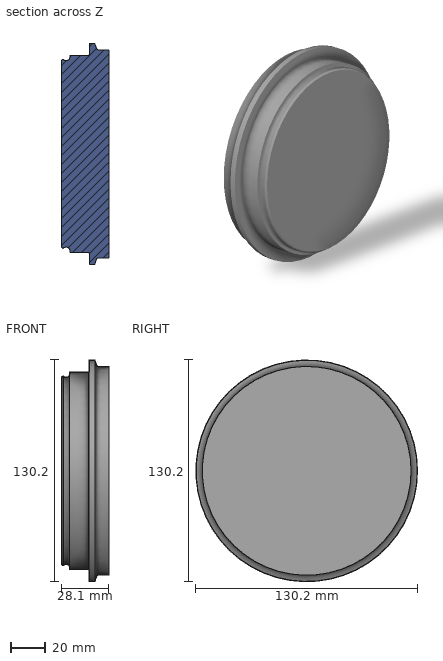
import cadquery as cq
import math

flange_radius = 130.2 / 2
rim_radius = 122.6 / 2
shoulder_radius = 116.1 / 2
lip_radius = 111.4 / 2
neck_radius = 110.0 / 2

lip_start = 0.9
lip_end = 1.3
shoulder_start = 4.8
flange_start = 16.3
flange_end = 19.7
total_length = 28.1

neck_fillet = 1.7
lip_relief_radius = 2.7
lip_relief_length = 1.4
flange_root_chamfer = 0.33
cone_angle = math.radians(70)
rim_fillet = 0.9

fillet_cone_radius = rim_radius + rim_fillet * (1 - math.cos(cone_angle))
fillet_start = flange_end + (flange_radius - fillet_cone_radius) / math.tan(cone_angle)
fillet_end = fillet_start + rim_fillet * math.sin(cone_angle)
fillet_mid = (
    fillet_end - rim_fillet * math.sin(cone_angle / 2),
    rim_radius + rim_fillet * (1 - math.cos(cone_angle / 2)),
)

neck_fillet_start = shoulder_start - neck_fillet
neck_fillet_mid = (
    neck_fillet_start + neck_fillet * math.sin(math.pi / 4),
    neck_radius + neck_fillet * (1 - math.cos(math.pi / 4)),
)

lip_relief_end = lip_end + lip_relief_length


def relief_height(distance):
    """Height of the lip relief above the neck at a distance from its tangent end."""
    return lip_relief_radius - math.sqrt(lip_relief_radius**2 - distance**2)


lip_relief_mid = (
    lip_relief_end - lip_relief_length / 2,
    neck_radius + relief_height(lip_relief_length / 2),
)

half_section = (
    cq.Workplane("XY")
    .moveTo(0, 0)
    .lineTo(0, neck_radius)
    .lineTo(lip_start, lip_radius)
    .lineTo(lip_end, lip_radius)
    .lineTo(lip_end, neck_radius + relief_height(lip_relief_length))
    .threePointArc(lip_relief_mid, (lip_relief_end, neck_radius))
    .lineTo(neck_fillet_start, neck_radius)
    .threePointArc(neck_fillet_mid, (shoulder_start, neck_radius + neck_fillet))
    .lineTo(shoulder_start, shoulder_radius)
    .lineTo(flange_start - flange_root_chamfer, shoulder_radius)
    .lineTo(flange_start, shoulder_radius + flange_root_chamfer)
    .lineTo(flange_start, flange_radius)
    .lineTo(flange_end, flange_radius)
    .lineTo(fillet_start, fillet_cone_radius)
    .threePointArc(fillet_mid, (fillet_end, rim_radius))
    .lineTo(total_length, rim_radius)
    .lineTo(total_length, 0)
    .close()
)

result = half_section.revolve(360, (0, 0, 0), (1, 0, 0))